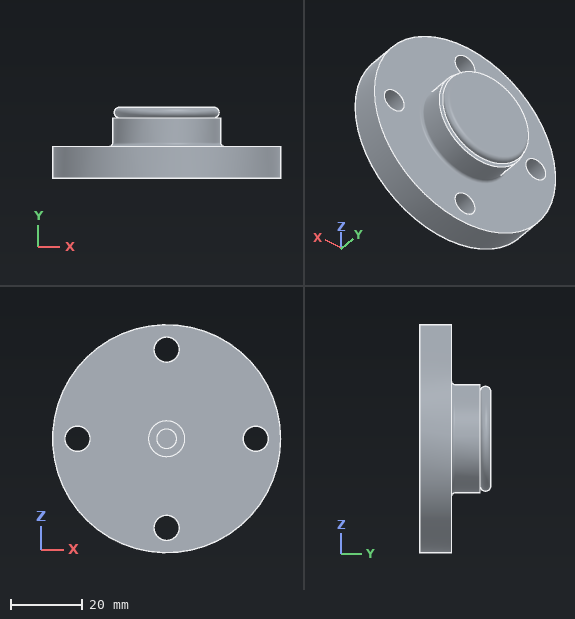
import cadquery as cq

flange_diameter = 64.0
flange_thickness = 8.95
overall_depth = 20.0
bolt_hole_diameter = 7.0
bolt_circle_diameter = 50.0
bolt_hole_count = 4

boss_radius = 30.4 / 2
boss_fillet = 1.0
ring_thickness = 3.0
ring_face_radius = 26.5 / 2

recess_diameter = 10.1
recess_depth = 0.8
inner_recess_diameter = 5.5
inner_recess_depth = 1.2


def rear_cylinder(diameter, start, length):
    """Cylinder along +Y, starting at the given distance behind the front face."""
    plane = cq.Workplane("XZ", origin=(0, start, 0))
    return plane.circle(diameter / 2).extrude(-length)


def make_body():
    """Revolve the flange, filleted boss and half-round ring about Y."""
    flange_radius = flange_diameter / 2
    boss_end = overall_depth - ring_thickness
    ring_radius = ring_thickness / 2
    profile = (
        cq.Workplane("XY")
        .lineTo(flange_radius, 0)
        .lineTo(flange_radius, flange_thickness)
        .lineTo(boss_radius + boss_fillet, flange_thickness)
        .radiusArc((boss_radius, flange_thickness + boss_fillet), boss_fillet)
        .lineTo(boss_radius, boss_end)
        .lineTo(ring_face_radius, boss_end)
        .threePointArc(
            (ring_face_radius + ring_radius, boss_end + ring_radius),
            (ring_face_radius, overall_depth),
        )
        .lineTo(0, overall_depth)
        .close()
    )
    return profile.revolve(360, (0, 0), (0, 1))


def make_bolt_holes():
    """Through holes evenly spaced on the bolt circle."""
    return (
        cq.Workplane("XZ")
        .polarArray(bolt_circle_diameter / 2, 0, 360, bolt_hole_count)
        .circle(bolt_hole_diameter / 2)
        .extrude(-flange_thickness)
    )


recess = rear_cylinder(recess_diameter, 0, recess_depth)
inner_recess = rear_cylinder(inner_recess_diameter, recess_depth, inner_recess_depth)

result = make_body().cut(make_bolt_holes()).cut(recess).cut(inner_recess)